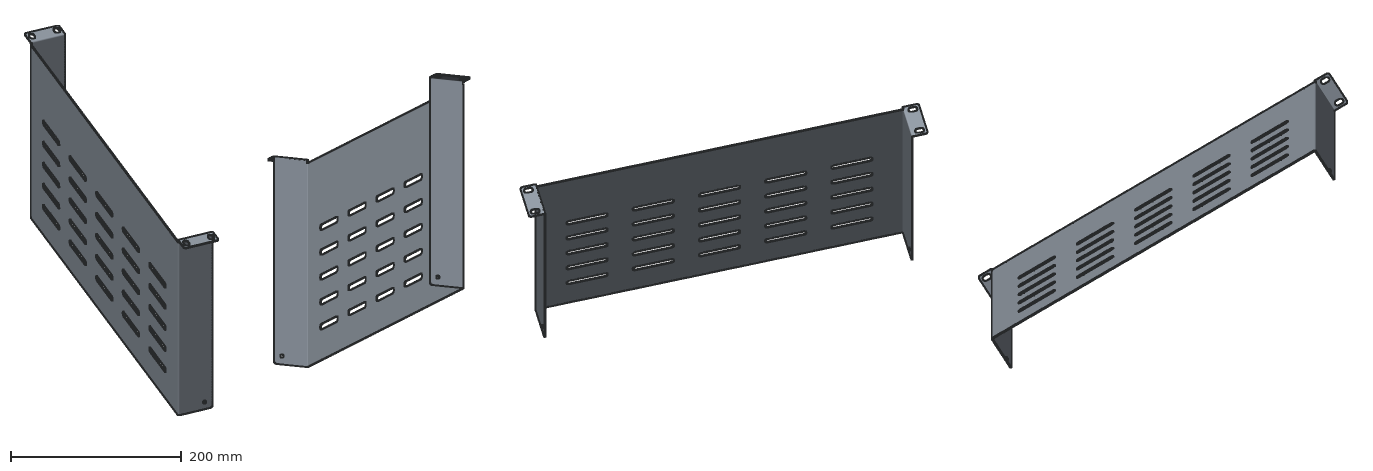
import cadquery as cq

overall_width = 483.0
depth = 44.0
height = 250.0

sheet = 1.5
bend_inner_radius = 0.5
bend_outer_radius = bend_inner_radius + sheet

tray_width = 446.5
panel_top_drop = 4.6
relief_depth = 2.0
wall_corner_radius = 3.5

ear_corner_radius = 3.0
ear_slot_length = 10.5
ear_slot_width = 6.5
ear_slot_pitch = 31.5
ear_slot_edge_inset = 8.5
ear_slot_back_inset = 6.5

vent_columns = 5
vent_rows = 5
vent_length = 50.0
vent_width = 7.0
vent_pitch_x = 80.0
vent_pitch_z = 30.0
lowest_vent_z = 40.0

wall_hole_diameter = 4.1
wall_hole_inset = 10.0

panel_top = height - panel_top_drop
half_tray = tray_width / 2

def make_tray():
    """U-shaped channel: front panel, side walls and the rounded bends between them."""
    outer = (
        cq.Workplane("XY")
        .rect(tray_width, 2 * depth)
        .extrude(height)
        .edges("|Z and <Y")
        .fillet(bend_outer_radius)
    )
    inner = (
        cq.Workplane("XY")
        .rect(tray_width - 2 * sheet, 2 * (depth - sheet))
        .extrude(height)
        .edges("|Z and <Y")
        .fillet(bend_inner_radius)
    )
    behind_panel = cq.Workplane("XY").box(tray_width, depth, height, centered=(True, False, False))
    return outer.cut(inner).translate((0, depth, 0)).intersect(behind_panel)

def trim_panel_top(tray):
    """Lower the panel and its bends leaving a small gap below the ears."""
    relief = (
        cq.Workplane("XY", origin=(0, 0, panel_top))
        .box(tray_width, relief_depth, panel_top_drop, centered=(True, False, False))
    )
    return tray.cut(relief)

def trim_wall_tops(tray):
    """Stop the side walls where the ear bends begin."""
    bend_zone = (
        cq.Workplane("XY", origin=(0, 0, height - bend_outer_radius))
        .box(tray_width, depth, bend_outer_radius, centered=(True, False, False))
    )
    return tray.cut(bend_zone)

def round_wall_corners(tray):
    """Round the lower back corner of both side walls."""
    return tray.edges("|X and >Y and <Z").fillet(wall_corner_radius)

def make_ear():
    """Right-hand ear with its bend, two slots and rounded outer corners."""
    wall_outer = half_tray
    wall_inner = half_tray - sheet
    outer_edge = overall_width / 2
    ear_bottom = height - sheet
    ear = (
        cq.Workplane("XZ", origin=(0, depth, 0))
        .moveTo(wall_inner, height - bend_outer_radius)
        .radiusArc((wall_inner + bend_outer_radius, height), bend_outer_radius)
        .lineTo(outer_edge, height)
        .lineTo(outer_edge, ear_bottom)
        .lineTo(wall_outer + bend_inner_radius, ear_bottom)
        .radiusArc((wall_outer, height - bend_outer_radius), -bend_inner_radius)
        .close()
        .extrude(depth)
        .edges("|Z and >X")
        .fillet(ear_corner_radius)
    )
    back_slot_y = depth - ear_slot_back_inset
    slots = (
        cq.Workplane("XY", origin=(outer_edge - ear_slot_edge_inset, 0, ear_bottom))
        .pushPoints([(0, back_slot_y), (0, back_slot_y - ear_slot_pitch)])
        .slot2D(ear_slot_length, ear_slot_width)
        .extrude(sheet)
    )
    return ear.cut(slots)

def make_vents():
    """Grid of horizontal slots through the front panel."""
    grid_centre_z = lowest_vent_z + (vent_rows - 1) * vent_pitch_z / 2
    return (
        cq.Workplane("XZ", origin=(0, sheet, grid_centre_z))
        .rarray(vent_pitch_x, vent_pitch_z, vent_columns, vent_rows)
        .slot2D(vent_length, vent_width)
        .extrude(sheet)
    )

def make_wall_holes():
    """One pin across the tray that pierces both side walls."""
    return (
        cq.Workplane("YZ")
        .center(depth - wall_hole_inset, wall_hole_inset)
        .circle(wall_hole_diameter / 2)
        .extrude(half_tray, both=True)
    )

tray = round_wall_corners(trim_panel_top(make_tray()))
tray = trim_wall_tops(tray).cut(make_vents()).cut(make_wall_holes())
right_ear = make_ear()
left_ear = right_ear.mirror("YZ")
result = tray.union(right_ear).union(left_ear)